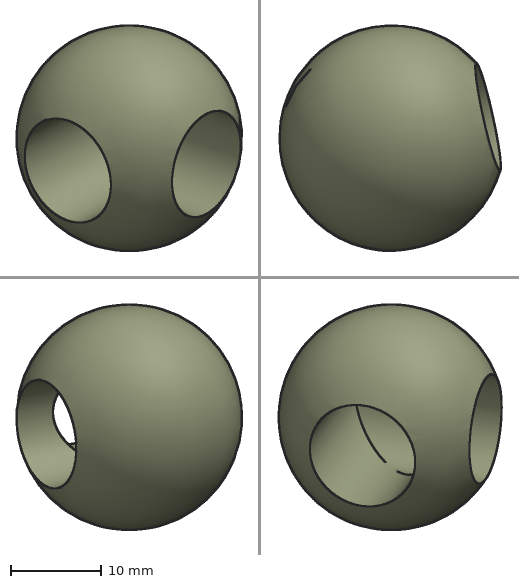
import cadquery as cq

ball_diameter = 25.0
bore_diameter = 12.2
ball_radius = ball_diameter / 2
bore_radius = bore_diameter / 2


def half_bore(plane):
    """Cylinder running from beyond the ball centre out through the surface."""
    return cq.Workplane(plane).circle(bore_radius).extrude(ball_diameter)


def mitred_passage():
    outlet_x = half_bore("YZ")
    outlet_y = half_bore("XZ")
    full_x = cq.Workplane("YZ").circle(bore_radius).extrude(ball_radius, both=True)
    full_y = cq.Workplane("XZ").circle(bore_radius).extrude(ball_radius, both=True)
    return outlet_x.union(outlet_y).union(full_x.intersect(full_y))


result = cq.Workplane("XY").sphere(ball_radius).cut(mitred_passage())